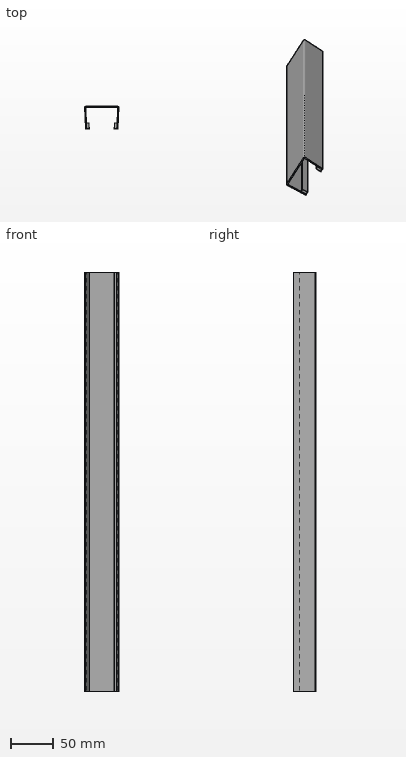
import cadquery as cq

length = 496.0
width = 40.5
depth = 27.0

wall = 1.5
leg_lean = 1.25
corner_radius = 2.0

strip_width = 3.0
strip_depth = 7.0

back_y = depth / 2
tip_y = -depth / 2
web_inner_y = back_y - wall

corner_x = width / 2 + leg_lean * corner_radius / depth


def leg_outer_x(y):
    """Distance of a leg's outer face from the middle plane at a given Y."""
    return corner_x - leg_lean * (back_y - y) / depth


def leg_inner_x(y):
    return leg_outer_x(y) - wall


def make_channel():
    """U-channel with leaning legs and rounded outer back corners."""
    right_half = [
        (leg_outer_x(back_y), back_y),
        (leg_outer_x(tip_y), tip_y),
        (leg_inner_x(tip_y), tip_y),
        (leg_inner_x(web_inner_y), web_inner_y),
    ]
    left_half = [(-x, y) for x, y in reversed(right_half)]
    channel = cq.Workplane("XY").polyline(right_half + left_half).close().extrude(length)
    return channel.edges("|Z and >Y").fillet(corner_radius)


def make_strip(side):
    """Strip against a leg's inner face; side is -1 for the -X leg and +1 for the +X leg."""
    strip_top_y = tip_y + strip_depth
    section = [
        (leg_inner_x(tip_y), tip_y),
        (leg_inner_x(strip_top_y), strip_top_y),
        (leg_inner_x(strip_top_y) - strip_width, strip_top_y),
        (leg_inner_x(tip_y) - strip_width, tip_y),
    ]
    return (
        cq.Workplane("XY")
        .polyline([(side * x, y) for x, y in section])
        .close()
        .extrude(length)
    )


channel = make_channel()
strips = [make_strip(side) for side in (-1, 1)]

result = cq.Compound.makeCompound([channel.val(), *[strip.val() for strip in strips]])